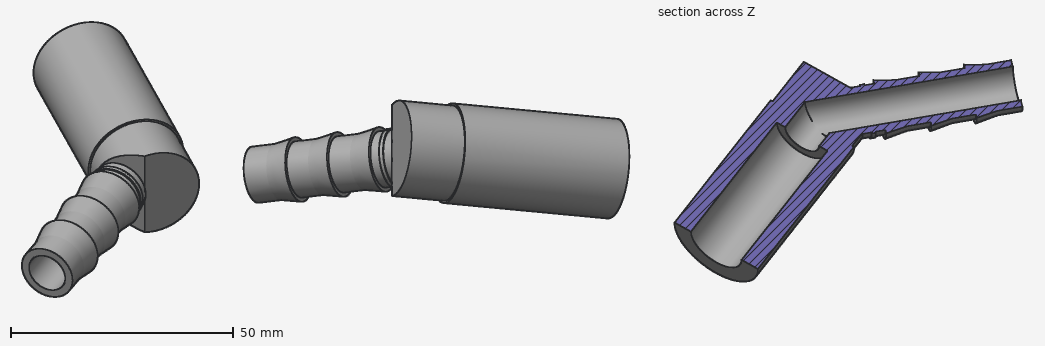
import cadquery as cq
import math

sleeve_radius = 11.3
sleeve_length = 39.3
neck_radius = 10.8
body_length = 52.0

socket_radius = 6.8
socket_depth = 35.0
bore_radius = 4.55

bend_angle = 45.0
bend_x = 41.2
tail_end_distance = 45.87
tail_length = 36.75
tail_radius = 6.4

barb_radius = 7.35
barb_length = 5.1
barb_count = 3
barb_pitch = 10.4
first_barb = 5.2
ring_radius = 6.7
ring_length = 1.0
ring_position = 2.0

face_distance = tail_end_distance - tail_length
bore_overrun = 5.0


def tilted_plane(angle, distance=0.0):
    """Plane facing along a direction turned from +X towards -Y, at a distance from the bend."""
    turn = math.radians(angle)
    direction = cq.Vector(math.cos(turn), -math.sin(turn), 0)
    origin = cq.Vector(bend_x, 0, 0) + direction * distance
    return cq.Plane(origin=origin, xDir=(0, 0, 1), normal=direction)


def half_space(angle, distance=0.0):
    """Large block filling the space beyond a tilted plane."""
    size = 2 * body_length
    return cq.Workplane(tilted_plane(angle, distance)).rect(size, size).extrude(size)


def make_body():
    """Sleeve and neck, with the neck cut off square to the tail."""
    neck = cq.Workplane("YZ").circle(neck_radius).extrude(body_length)
    sleeve = cq.Workplane("YZ").circle(sleeve_radius).extrude(sleeve_length)
    return neck.union(sleeve).cut(half_space(bend_angle, face_distance))


def make_tail():
    """Hose tail with a ring and barbs that taper towards the tip."""
    profile = [(0, 0), (tail_radius, 0)]
    ring_end = ring_position + ring_length
    profile += [(tail_radius, ring_position), (ring_radius, ring_position)]
    profile += [(ring_radius, ring_end), (tail_radius, ring_end)]
    for index in range(barb_count):
        start = first_barb + index * barb_pitch
        profile += [(tail_radius, start), (barb_radius, start), (tail_radius, start + barb_length)]
    profile += [(tail_radius, tail_length), (0, tail_length)]

    turned = cq.Workplane("XZ").polyline(profile).close().revolve(360, (0, 0), (0, 1))
    return cq.Workplane(turned.val().moved(cq.Location(tilted_plane(bend_angle, face_distance))))


def make_bores():
    """Stepped straight bore and tail bore, mitred together at the bend."""
    mitre = half_space(bend_angle / 2)
    straight = cq.Workplane("YZ").circle(bore_radius).extrude(body_length).cut(mitre)
    tail_bore_start = tilted_plane(bend_angle, -bore_radius)
    angled_length = bore_radius + tail_end_distance + bore_overrun
    angled = cq.Workplane(tail_bore_start).circle(bore_radius).extrude(angled_length)
    socket = cq.Workplane("YZ").circle(socket_radius).extrude(socket_depth)
    return straight.union(angled.intersect(mitre)).union(socket)


result = make_body().union(make_tail()).cut(make_bores())